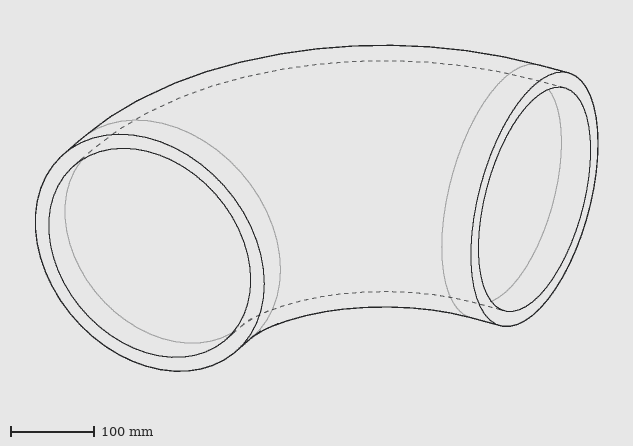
import cadquery as cq

outer_diameter = 315.0
inner_diameter = 277.6

bend_radius = 300.0
collar_length = 40.0
bend_angle = 90.0


def ring(plane):
    """Pipe wall cross-section on the given plane."""
    return cq.Workplane(plane).circle(outer_diameter / 2).circle(inner_diameter / 2)


def make_bend():
    """Quarter torus from the origin (heading +Y) round to the +X direction."""
    axis_start = (bend_radius, 0)
    axis_end = (bend_radius, -1)
    return ring("XZ").revolve(bend_angle, axis_start, axis_end)


def make_inlet_collar():
    """Straight end running from the bend toward -Y."""
    return ring("XZ").extrude(collar_length)


def make_outlet_collar():
    """Straight end running from the bend toward +X."""
    outlet_plane = cq.Plane(origin=(bend_radius, bend_radius, 0), xDir=(0, 1, 0), normal=(1, 0, 0))
    return ring(outlet_plane).extrude(collar_length)


result = make_bend().union(make_inlet_collar()).union(make_outlet_collar())